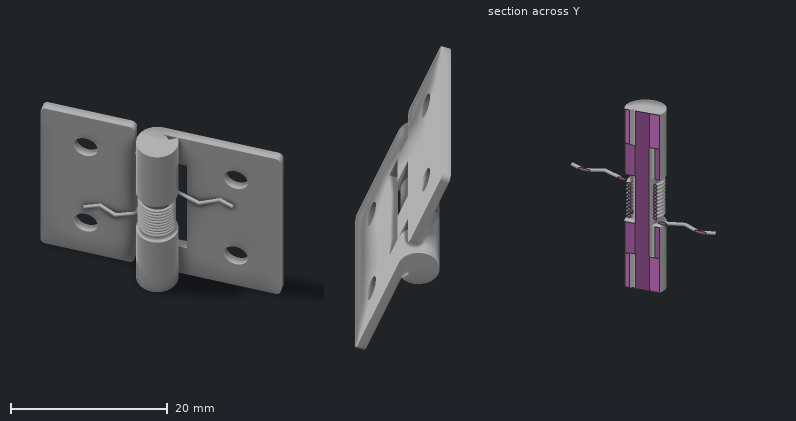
import cadquery as cq
import math


hinge_width = 32.0
hinge_height = 25.0
leaf_thickness = 1.2
hinge_side_x = 3.5
corner_radius = 0.75
hole_diameter = 3.2
hole_spacing_x = 20.0
hole_spacing_z = 14.0

pin_radius = 1.5
knuckle_radius = pin_radius + leaf_thickness
outer_knuckle_length = 4.85
inner_knuckle_length = 4.35
curl_end_gap = 1.0

wire_radius = 0.225
coil_radius = 2.25
coil_center_y = -0.2
coil_pitch = 0.5
whole_turns = 10
leg_valley = (5.57, 0.06)
leg_crest = (7.97, 1.25)
leg_tip = (9.95, 0.48)
leg_rise = 0.52

half_height = hinge_height / 2
half_width = hinge_width / 2
outer_knuckle_bottom = half_height - outer_knuckle_length
inner_knuckle_bottom = outer_knuckle_bottom - inner_knuckle_length


def polar(radius, degrees):
    angle = math.radians(degrees)
    return (radius * math.cos(angle), radius * math.sin(angle))


def make_knuckle(bottom, length):
    """Strip of plate that runs in from the plate's edge and curls around the pin."""
    contact_angle = math.degrees(math.asin(pin_radius / knuckle_radius))
    end_angle = contact_angle - curl_end_gap
    bottom_angle = 270
    return (
        cq.Workplane("XY", origin=(0, 0, bottom))
        .moveTo(hinge_side_x, knuckle_radius)
        .lineTo(0, knuckle_radius)
        .threePointArc((-knuckle_radius, 0), polar(knuckle_radius, bottom_angle))
        .threePointArc(polar(knuckle_radius, (end_angle - 90) / 2), polar(knuckle_radius, end_angle))
        .lineTo(*polar(pin_radius, end_angle))
        .threePointArc(polar(pin_radius, (end_angle - 90) / 2), polar(pin_radius, bottom_angle))
        .threePointArc((-pin_radius, 0), (0, pin_radius))
        .lineTo(hinge_side_x, pin_radius)
        .close()
        .extrude(length)
    )


def make_leaf(rounded_edges, knuckle_bottom, knuckle_length):
    """Leaf on the +X side, with a pair of knuckles placed symmetrically about mid-height."""
    leaf = (
        cq.Workplane("XY")
        .box(half_width - hinge_side_x, leaf_thickness, hinge_height, centered=(False, False, True))
        .translate((hinge_side_x, pin_radius, 0))
        .edges(rounded_edges)
        .fillet(corner_radius)
    )
    for bottom in (knuckle_bottom, -knuckle_bottom - knuckle_length):
        leaf = leaf.union(make_knuckle(bottom, knuckle_length))
    for side in (-1, 1):
        hole = (
            cq.Workplane("XZ", origin=(hole_spacing_x / 2, knuckle_radius, side * hole_spacing_z / 2))
            .circle(hole_diameter / 2)
            .extrude(leaf_thickness)
        )
        leaf = leaf.cut(hole)
    return leaf


def make_pin():
    return cq.Workplane("XY", origin=(0, 0, -half_height)).circle(pin_radius).extrude(hinge_height)


valley_distance = math.hypot(leg_valley[0], leg_valley[1] - coil_center_y)
valley_direction = math.degrees(math.atan2(leg_valley[1] - coil_center_y, leg_valley[0]))
upper_exit_angle = valley_direction + math.degrees(math.acos(coil_radius / valley_distance))
lower_exit_angle = 180 - upper_exit_angle
coil_turns = whole_turns + (lower_exit_angle - upper_exit_angle) / 360
coil_height = coil_pitch * coil_turns


def sweep_wire(path):
    """Round spring wire along a path, mitred at its bends."""
    start = cq.Plane(origin=path.startPoint(), normal=path.tangentAt(0))
    return cq.Workplane(start).circle(wire_radius).sweep(cq.Workplane(obj=path), transition="right")


def make_coil():
    """Left-handed coil that climbs from the lower exit to the upper exit."""
    helix = cq.Wire.makeHelix(coil_pitch, coil_height, coil_radius, lefthand=True)
    turned = helix.rotate(cq.Vector(0, 0, 0), cq.Vector(0, 0, 1), lower_exit_angle)
    return sweep_wire(turned.translate(cq.Vector(0, coil_center_y, -coil_height / 2)))


def make_upper_leg():
    """Zigzag leg on the +X side, rising evenly from the top of the coil."""
    exit_x, exit_y = polar(coil_radius, upper_exit_angle)
    bends = [(exit_x, exit_y + coil_center_y), leg_valley, leg_crest, leg_tip]
    rise_per_x = leg_rise / (leg_tip[0] - exit_x)
    points = [cq.Vector(x, y, coil_height / 2 + rise_per_x * (x - exit_x)) for x, y in bends]
    return sweep_wire(cq.Wire.makePolygon(points))


def make_spring():
    """Coil with a leg at each end, the lower leg being the upper one turned half around Y."""
    upper_leg = make_upper_leg()
    lower_leg = upper_leg.rotate((0, 0, 0), (0, 1, 0), 180)
    return make_coil().union(upper_leg).union(lower_leg)


right_leaf = make_leaf("|Y and >X", outer_knuckle_bottom, outer_knuckle_length)
left_leaf = make_leaf("|Y", inner_knuckle_bottom, inner_knuckle_length).mirror("YZ")
pin = make_pin()
spring = make_spring()

result = cq.Compound.makeCompound([
    right_leaf.solids().val(),
    left_leaf.solids().val(),
    pin.val(),
    spring.solids().val(),
])